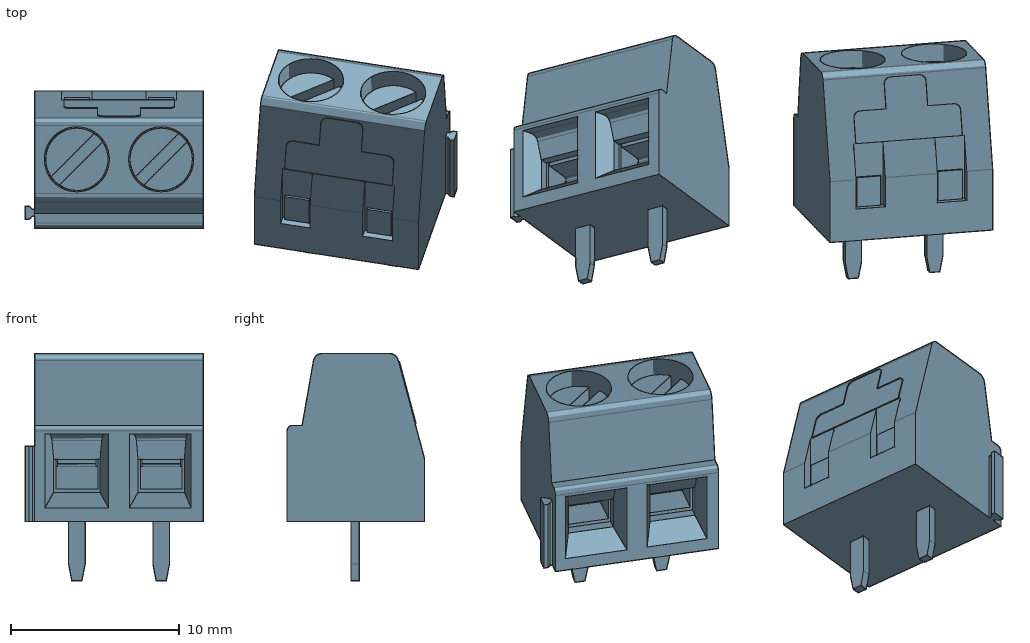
import cadquery as cq
import math


pitch = 5.0
pole_count = 2
width = pole_count * pitch
depth = 8.15
height = 9.97
pole_centers = [pitch * (i + 0.5) for i in range(pole_count)]

step_height = 5.71
step_depth = 0.89
step_radius = 0.34
front_lean = math.radians(10)
back_wall_height = 3.76
back_lean = math.radians(15)
top_radius = 0.5
front_top_y = step_depth + (height - step_height) * math.tan(front_lean)
back_top_y = depth - (height - back_wall_height) * math.tan(back_lean)

rail_y = 0.93
rail_width = 0.8
rail_neck_width = 0.42
rail_height = 4.47
rail_reach = 0.57
rail_flat = 0.24
rail_neck_length = 0.13

funnel_half_width = 1.89
funnel_end_half_width = 1.78
funnel_bottom = 0.82
funnel_top = 5.2
funnel_depth = 1.28
funnel_roof_length = 0.94
funnel_roof_radius = 0.5

tunnel_width = 2.75
tunnel_bottom = 1.74
tunnel_top = 3.69

screw_y = 4.1
head_radius = 1.85
head_top = 8.92
head_bottom = 7.11
slot_width = 0.7
slot_depth = 0.9
slot_angle = 45
shank_radius = 1.0
screw_hole_radius = 1.93

pin_y = 4.04
pin_thickness = 0.5
pin_front = pin_y - pin_thickness / 2
pin_back = pin_y + pin_thickness / 2
leg_width = 1.0
leg_length = 3.5
leg_tip_width = 0.6
leg_tip_start = 2.5
plate_width = 2.48
plate_top = 3.27
leaf_width = 2.29
leaf_underside = 3.46
leaf_top = leaf_underside + pin_thickness
leaf_bend_radius = leaf_underside - plate_top

cage_front = 1.87
cage_back = cage_front + 2 * (screw_y - cage_front)
cage_floor = 1.95
cage_roof_thickness = 1.0
cage_top = leaf_top + cage_roof_thickness

recess_width = 1.8
recess_depth = 0.55
recess_floor = cage_floor
ledge_width = 1.48
ledge_depth = 0.15
pad_thickness = 0.05
pad_width = 6.55
pad_start = recess_depth / math.sin(back_lean)
pad_shoulder = 4.05
pad_end = 5.93
pad_tab_width = 2.56
pad_radius = 0.4


def box(x_center, x_size, y_min, y_max, z_min, z_max):
    """Box centred on x_center, between the given Y and Z limits."""
    return (
        cq.Workplane("XY")
        .box(x_size, y_max - y_min, z_max - z_min, centered=(True, False, False))
        .translate((x_center, y_min, z_min))
    )


def post(x_center, radius, z_min, z_max):
    """Vertical cylinder on the screw axis of one pole."""
    return cq.Workplane("XY", origin=(x_center, screw_y, z_min)).circle(radius).extrude(z_max - z_min)


def make_shell():
    """Solid housing profile with rounded top edges and step edge."""
    profile = [
        (0, 0),
        (depth, 0),
        (depth, back_wall_height),
        (back_top_y, height),
        (front_top_y, height),
        (step_depth, step_height),
        (0, step_height),
    ]
    shell = cq.Workplane("YZ").polyline(profile).close().extrude(width)
    shell = shell.edges("|X").edges(">Z").fillet(top_radius)
    step_edge = cq.selectors.NearestToPointSelector((width / 2, 0, step_height))
    return shell.edges(step_edge).fillet(step_radius)


def make_rail():
    """Vertical dovetail rail standing out of the left side."""
    half = rail_width / 2
    neck = rail_neck_width / 2
    outline = [
        (0, -neck),
        (-rail_neck_length, -neck),
        (rail_flat - rail_reach, -half),
        (-rail_reach, -half),
        (-rail_reach, half),
        (rail_flat - rail_reach, half),
        (-rail_neck_length, neck),
        (0, neck),
    ]
    return cq.Workplane("XY", origin=(0, rail_y, 0)).polyline(outline).close().extrude(rail_height)


def make_label_pad():
    """Raised T-shaped label pad on the sloping back face."""
    slope = cq.Plane(
        origin=(width / 2, depth, back_wall_height),
        xDir=(-1, 0, 0),
        normal=(0, math.cos(back_lean), math.sin(back_lean)),
    )
    half = pad_width / 2
    tab = pad_tab_width / 2
    outline = [
        (-half, pad_start),
        (half, pad_start),
        (half, pad_shoulder),
        (tab, pad_shoulder),
        (tab, pad_end),
        (-tab, pad_end),
        (-tab, pad_shoulder),
        (-half, pad_shoulder),
    ]
    pad = cq.Workplane(slope).polyline(outline).close().extrude(pad_thickness)
    for x, distance in [(half, pad_shoulder), (tab, pad_end)]:
        for side in (-1, 1):
            corner = slope.toWorldCoords((side * x, distance, pad_thickness / 2))
            pad = pad.edges(cq.selectors.NearestToPointSelector(corner.toTuple())).fillet(pad_radius)
    return pad


def make_funnel(x_center, right_half_width):
    """Wire entry: tapered floor and sides, and a flat roof that curves down to the tunnel."""
    side_profile = [
        (0, funnel_bottom),
        (funnel_depth, tunnel_bottom),
        (funnel_depth, tunnel_top),
        (funnel_roof_length, funnel_top),
        (0, funnel_top),
    ]
    plan = [
        (-funnel_half_width, 0),
        (right_half_width, 0),
        (tunnel_width / 2, funnel_depth),
        (-tunnel_width / 2, funnel_depth),
    ]
    roof_corner = cq.selectors.NearestToPointSelector((x_center, funnel_roof_length, funnel_top))
    body = (
        cq.Workplane("YZ", origin=(x_center, 0, 0))
        .polyline(side_profile)
        .close()
        .extrude(funnel_half_width, both=True)
        .edges(roof_corner)
        .fillet(funnel_roof_radius)
    )
    taper = cq.Workplane("XY", origin=(x_center, 0, 0)).polyline(plan).close().extrude(height)
    return body.intersect(taper)


def make_back_recess(x_center):
    """Recess in the back wall with a low ledge along its inner face."""
    inner = depth - recess_depth
    recess = box(x_center, recess_width, inner, depth, recess_floor, height)
    ledge = box(x_center, ledge_width, inner, inner + ledge_depth, recess_floor, back_wall_height)
    return recess.cut(ledge)


def make_housing():
    """Housing with rail, label pad, and the openings of every pole."""
    housing = make_shell()
    housing = housing.union(make_rail())
    for x in pole_centers:
        housing = housing.cut(make_back_recess(x))
    housing = housing.union(make_label_pad())
    for x in pole_centers:
        last_pole = x == pole_centers[-1]
        housing = housing.cut(make_funnel(x, funnel_end_half_width if last_pole else funnel_half_width))
        housing = housing.cut(box(x, tunnel_width, funnel_depth, cage_front, tunnel_bottom, tunnel_top))
        housing = housing.cut(box(x, tunnel_width, cage_front, cage_back, tunnel_bottom, cage_top))
        housing = housing.cut(box(x, leg_width, pin_front, pin_back, 0, tunnel_bottom))
        housing = housing.cut(post(x, shank_radius, cage_top, head_bottom))
        housing = housing.cut(post(x, screw_hole_radius, head_bottom, height))
    return housing


def make_screw(x_center):
    """Slotted screw whose shank stands on the leaf of the pin."""
    head = post(x_center, head_radius, head_bottom, head_top)
    slot = (
        cq.Workplane("XY", origin=(x_center, screw_y, head_top - slot_depth))
        .transformed(rotate=(0, 0, slot_angle))
        .rect(2 * screw_hole_radius, slot_width)
        .extrude(slot_depth)
    )
    shank = post(x_center, shank_radius, leaf_top, head_bottom)
    return head.cut(slot).union(shank)


def make_cage(x_center):
    """Clamp cage: a sleeve open at front and back, threaded by the screw, slotted for the pin leg."""
    cage = box(x_center, tunnel_width, cage_front, cage_back, tunnel_bottom, cage_top)
    cage = cage.cut(box(x_center, plate_width, cage_front, cage_back, cage_floor, leaf_top))
    cage = cage.cut(box(x_center, leg_width, pin_front, pin_back, tunnel_bottom, cage_floor))
    return cage.cut(post(x_center, shank_radius, leaf_top, cage_top))


def make_pin(x_center):
    """Solder leg with a tapered tip, a wide contact plate, and a leaf bent forward at the top."""
    leg_outline = [
        (-leg_width / 2, cage_floor),
        (-leg_width / 2, -leg_tip_start),
        (-leg_tip_width / 2, -leg_length),
        (leg_tip_width / 2, -leg_length),
        (leg_width / 2, -leg_tip_start),
        (leg_width / 2, cage_floor),
    ]
    leg = (
        cq.Workplane("XZ", origin=(x_center, pin_back, 0))
        .polyline(leg_outline)
        .close()
        .extrude(pin_thickness)
    )
    plate = box(x_center, plate_width, pin_front, pin_back, cage_floor, plate_top)
    outer_radius = leaf_bend_radius + pin_thickness
    bend_diagonal = math.sqrt(0.5)
    bend_y = pin_front - leaf_bend_radius
    leaf = (
        cq.Workplane("YZ", origin=(x_center, 0, 0))
        .moveTo(pin_front, plate_top)
        .lineTo(pin_back, plate_top)
        .threePointArc(
            (bend_y + outer_radius * bend_diagonal, plate_top + outer_radius * bend_diagonal),
            (bend_y, leaf_top),
        )
        .lineTo(cage_front, leaf_top)
        .lineTo(cage_front, leaf_underside)
        .lineTo(bend_y, leaf_underside)
        .threePointArc(
            (bend_y + leaf_bend_radius * bend_diagonal, plate_top + leaf_bend_radius * bend_diagonal),
            (pin_front, plate_top),
        )
        .close()
        .extrude(leaf_width / 2, both=True)
    )
    return leg.union(plate).union(leaf)


housing = make_housing()
screws = [make_screw(x).val() for x in pole_centers]
cages = [make_cage(x).val() for x in pole_centers]
pins = [make_pin(x).val() for x in pole_centers]

result = cq.Compound.makeCompound([housing.val(), *screws, *cages, *pins])